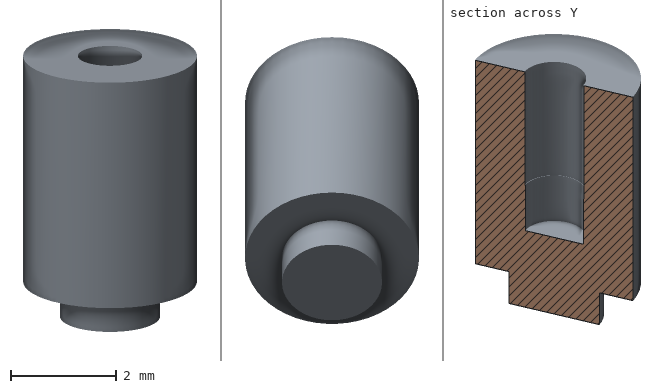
import cadquery as cq

total_height = 5.2
body_diameter = 3.3

spigot_diameter = 1.9
spigot_height = 0.7
body_height = total_height - spigot_height

upper_bore_diameter = 1.22
lower_bore_diameter = 1.2
bore_depth = 3.5
upper_bore_depth = 2.5


def cylinder(diameter, bottom, height):
    """Upright cylinder on the Z axis, starting at the given height."""
    return cq.Workplane("XY").workplane(offset=bottom).circle(diameter / 2).extrude(height)


spigot = cylinder(spigot_diameter, 0, spigot_height)
body = cylinder(body_diameter, spigot_height, body_height)

lower_bore = cylinder(lower_bore_diameter, total_height - bore_depth, bore_depth)
upper_bore = cylinder(upper_bore_diameter, total_height - upper_bore_depth, upper_bore_depth)

result = spigot.union(body).cut(lower_bore).cut(upper_bore)